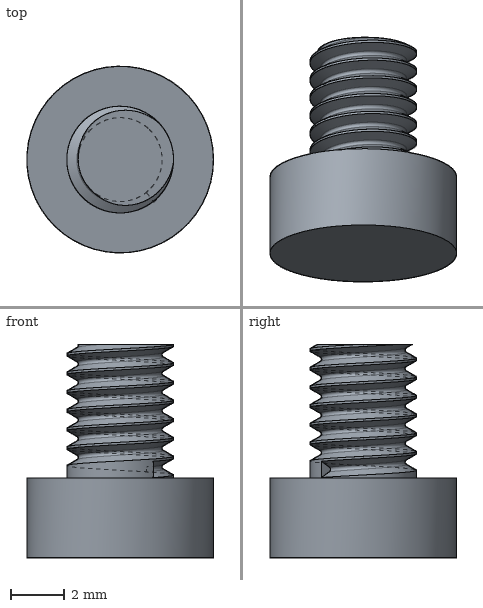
import cadquery as cq
import math

head_diameter = 7.0
head_height = 3.0
shank_diameter = 4.0
shank_length = 5.0

pitch = 0.7
flank_half_angle = 30.0
crest_flat = pitch / 8
root_chord = pitch / 4
groove_start_angle = -51.5
groove_start_clearance = 0.005

head_radius = head_diameter / 2
shank_radius = shank_diameter / 2
total_height = head_height + shank_length
groove_width = pitch - crest_flat
flank_slope = math.tan(math.radians(flank_half_angle))
flank_depth = (groove_width - root_chord) / 2 / flank_slope
flank_end_radius = shank_radius - flank_depth

root_arc_radius = root_chord / 2 / math.cos(math.radians(flank_half_angle))
root_arc_depth = root_arc_radius * (1 - math.sin(math.radians(flank_half_angle)))
root_radius = flank_end_radius - root_arc_depth

cutter_overlap = crest_flat / 4
cutter_outer_radius = shank_radius + cutter_overlap
cutter_outer_half_width = groove_width / 2 + cutter_overlap * flank_slope

groove_start_height = head_height + groove_start_clearance + groove_width / 2
helix_top = total_height + pitch
helix_height = helix_top - groove_start_height

blank_height = helix_top + pitch


def make_blank():
    """Head and overlong plain shank, coaxial on Z."""
    head = cq.Workplane("XY").circle(head_radius).extrude(head_height)
    shank = cq.Workplane("XY").circle(shank_radius).extrude(blank_height)
    return head.union(shank)


def make_groove_cutter():
    """Round-nosed V swept along a right-hand helix, turned to its start angle."""
    helix = cq.Wire.makeHelix(pitch, helix_height, shank_radius)
    profile = (
        cq.Workplane("XZ")
        .moveTo(flank_end_radius, -root_chord / 2)
        .lineTo(cutter_outer_radius, -cutter_outer_half_width)
        .lineTo(cutter_outer_radius, cutter_outer_half_width)
        .lineTo(flank_end_radius, root_chord / 2)
        .threePointArc((root_radius, 0), (flank_end_radius, -root_chord / 2))
        .close()
    )
    cutter = profile.sweep(cq.Workplane(obj=helix), isFrenet=True)
    cutter = cutter.rotate((0, 0, 0), (0, 0, 1), groove_start_angle)
    return cutter.translate((0, 0, groove_start_height))


def trim_to_length(screw):
    """Keep only the part of the screw below its flat top end."""
    envelope = cq.Workplane("XY").circle(head_diameter).extrude(total_height)
    return screw.intersect(envelope)


threaded_blank = make_blank().cut(make_groove_cutter())
result = trim_to_length(threaded_blank)